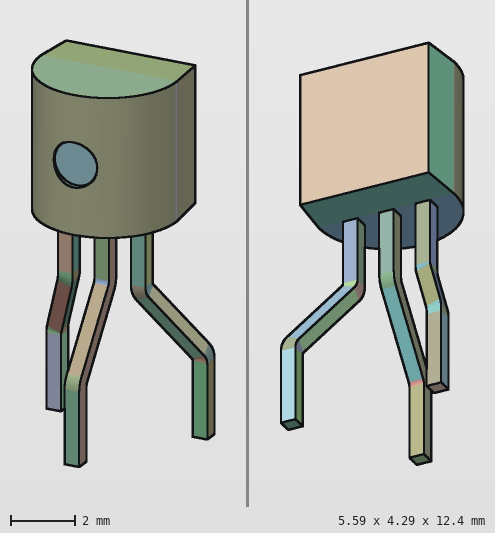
import cadquery as cq
import math

TOTAL_HEIGHT = 12.4

HOUSING_HEIGHT = 4.7
HOUSING_WIDTH = 4.72
BREAK_Y = 0.07
BACK_Y = 1.57
BACK_WIDTH = 4.49
BACK_HEIGHT = 4.63
housing_radius = HOUSING_WIDTH / 2
housing_bottom = TOTAL_HEIGHT - HOUSING_HEIGHT
housing_mid_z = housing_bottom + HOUSING_HEIGHT / 2

MARK_DIAMETER = 1.51
MARK_DEPTH = 0.2

WIRE = 0.51
BEND_RADIUS = 0.5
LEAD_PITCH = 1.26
FOOT_PITCH = 2.54
FRONT_FOOT_Y = -2.23
REAR_FOOT_Y = 1.55
lead_y = BREAK_Y - WIRE / 2
UPPER_BEND_Z = 5.32
FRONT_LOWER_BEND_Z = 2.68
REAR_LOWER_BEND_Z = 2.73


def make_housing():
    front = (
        cq.Workplane("XY", origin=(0, 0, housing_bottom))
        .moveTo(-housing_radius, BREAK_Y)
        .lineTo(-housing_radius, 0)
        .threePointArc((0, -housing_radius), (housing_radius, 0))
        .lineTo(housing_radius, BREAK_Y)
        .close()
        .extrude(HOUSING_HEIGHT)
    )
    back = (
        cq.Workplane("XZ", origin=(0, BACK_Y, housing_mid_z))
        .rect(BACK_WIDTH, BACK_HEIGHT)
        .workplane(offset=BACK_Y - BREAK_Y)
        .rect(HOUSING_WIDTH, HOUSING_HEIGHT)
        .loft(ruled=True)
    )
    mark = (
        cq.Workplane("XZ", origin=(0, MARK_DEPTH - housing_radius, housing_mid_z))
        .circle(MARK_DIAMETER / 2)
        .extrude(housing_radius)
    )
    return front.union(back).cut(mark)


def make_lead(top_x, foot_x, foot_y, lower_bend_z):
    """Sweep the square wire from the housing through both bends to its foot."""
    top = cq.Vector(top_x, lead_y, housing_bottom)
    upper = cq.Vector(top_x, lead_y, UPPER_BEND_Z)
    lower = cq.Vector(foot_x, foot_y, lower_bend_z)
    foot = cq.Vector(foot_x, foot_y, 0)

    down = cq.Vector(0, 0, -1)
    slope = (lower - upper).normalized()
    bend_angle = math.acos(slope.dot(down))
    tangent_length = BEND_RADIUS * math.tan(bend_angle / 2)

    upper_start = upper - down * tangent_length
    upper_end = upper + slope * tangent_length
    lower_start = lower - slope * tangent_length
    lower_end = lower + down * tangent_length
    path = cq.Wire.assembleEdges([
        cq.Edge.makeLine(top, upper_start),
        cq.Edge.makeTangentArc(upper_start, down, upper_end),
        cq.Edge.makeLine(upper_end, lower_start),
        cq.Edge.makeTangentArc(lower_start, slope, lower_end),
        cq.Edge.makeLine(lower_end, foot),
    ])
    return cq.Workplane("XY", origin=top.toTuple()).rect(WIRE, WIRE).sweep(path)


housing = make_housing()
leads = [make_lead(0, 0, FRONT_FOOT_Y, FRONT_LOWER_BEND_Z)]
for side in (-1, 1):
    leads.append(make_lead(side * LEAD_PITCH, side * FOOT_PITCH, REAR_FOOT_Y, REAR_LOWER_BEND_Z))

result = cq.Compound.makeCompound([housing.val(), *[lead.val() for lead in leads]])